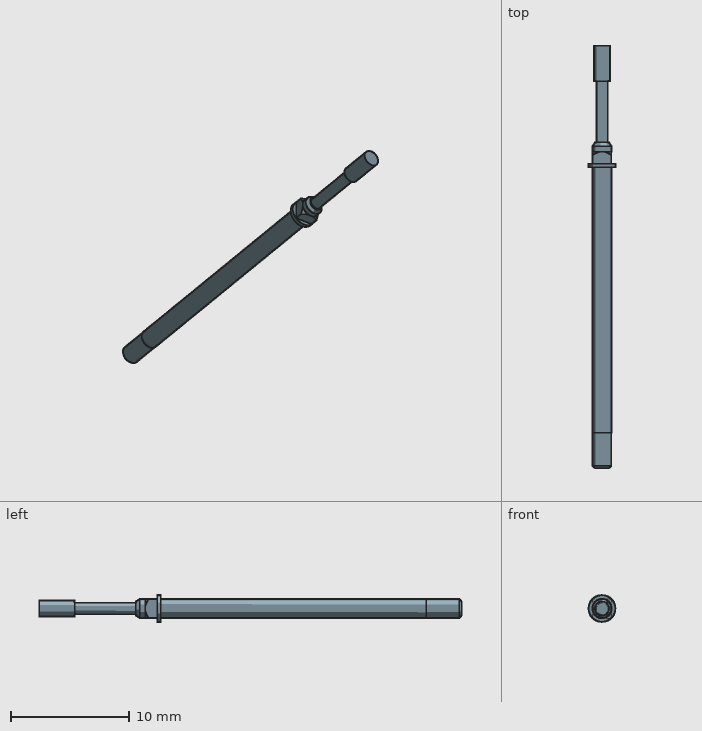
import cadquery as cq

TOTAL_LENGTH = 35.8
FRONT_END = -TOTAL_LENGTH / 2
BACK_END = TOTAL_LENGTH / 2

HEAD_DIAMETER = 1.4
HEAD_LENGTH = 3.0
SHAFT_DIAMETER = 1.0

BARREL_DIAMETER = 1.65
TAIL_DIAMETER = 1.6
TAIL_LENGTH = 3.0
TAIL_CHAMFER = 0.2

FLANGE_DIAMETER = 2.3
FLANGE_THICKNESS = 0.32
FLANGE_FRONT = 7.6
SQUARE_WIDTH = 1.6
SQUARE_LENGTH = 1.0
NECK_LENGTH = 0.45
TIP_DIAMETER = 1.2
TIP_TAPER_LENGTH = 0.32

BEVEL_LENGTH = 0.3

flange_back = FLANGE_FRONT + FLANGE_THICKNESS
square_back = flange_back + SQUARE_LENGTH
neck_back = square_back + NECK_LENGTH
tip_back = neck_back + TIP_TAPER_LENGTH
head_front = BACK_END - HEAD_LENGTH
tail_back = FRONT_END + TAIL_LENGTH


def cylinder(diameter, start, end):
    """Round bar on the Y axis from start to end."""
    workplane = cq.Workplane("XZ", origin=(0, start, 0))
    return workplane.circle(diameter / 2).extrude(start - end)


def cone(start_diameter, end_diameter, start, end):
    """Solid frustum on the Y axis from start to end."""
    outline = [(0, start), (start_diameter / 2, start), (end_diameter / 2, end), (0, end)]
    return cq.Workplane("XY").polyline(outline).close().revolve(360, (0, 0, 0), (0, 1, 0))


def wrench_square():
    """Square section whose corners are bevelled by a cone towards +Y."""
    workplane = cq.Workplane("XZ", origin=(0, flange_back, 0))
    square = workplane.rect(SQUARE_WIDTH, SQUARE_WIDTH).extrude(-SQUARE_LENGTH)
    bevel_start = square_back - BEVEL_LENGTH
    envelope = cylinder(FLANGE_DIAMETER, flange_back, bevel_start).union(
        cone(FLANGE_DIAMETER, BARREL_DIAMETER, bevel_start, square_back)
    )
    return square.intersect(envelope)


tail = cylinder(TAIL_DIAMETER, FRONT_END, tail_back).faces("<Y").chamfer(TAIL_CHAMFER)

result = (
    tail
    .union(cylinder(BARREL_DIAMETER, tail_back, FLANGE_FRONT))
    .union(cylinder(FLANGE_DIAMETER, FLANGE_FRONT, flange_back))
    .union(wrench_square())
    .union(cylinder(BARREL_DIAMETER, square_back, neck_back))
    .union(cone(BARREL_DIAMETER, TIP_DIAMETER, neck_back, tip_back))
    .union(cylinder(SHAFT_DIAMETER, tip_back, head_front))
    .union(cylinder(HEAD_DIAMETER, head_front, BACK_END))
)